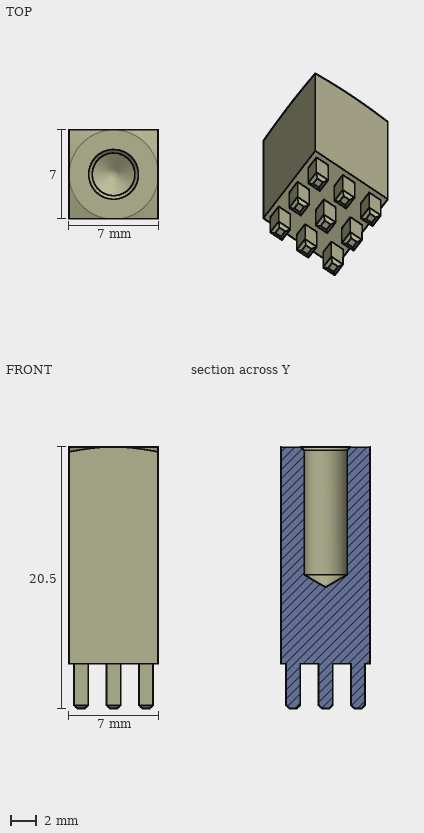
import cadquery as cq
import math

width = 7.0
total_height = 20.5
pin_length = 3.5
body_height = total_height - pin_length

bevel_angle = 15.0

hole_diameter = 3.35
countersink_diameter = 3.9
countersink_depth = (countersink_diameter - hole_diameter) / 2
hole_depth = 10.0
drill_point_angle = 120.0

pin_width = 1.13
pin_pitch = 2.55
pins_per_side = 3
pin_tip_height = 0.29
pin_tip_inset = 0.29


def bevelled_body():
    """Square block whose top corners are cut by a shallow cone."""
    block = cq.Workplane("XY").box(width, width, body_height, centered=(True, True, False))
    top_radius = width / 2
    envelope_radius = width
    drop = (envelope_radius - top_radius) * math.tan(math.radians(bevel_angle))
    envelope = (
        cq.Workplane("XZ")
        .moveTo(0, 0)
        .lineTo(envelope_radius, 0)
        .lineTo(envelope_radius, body_height - drop)
        .lineTo(top_radius, body_height)
        .lineTo(0, body_height)
        .close()
        .revolve(360, (0, 0, 0), (0, 1, 0))
    )
    return block.intersect(envelope)


def countersunk_hole():
    """Blind drilled hole with a conical bottom and a 45 degree countersink."""
    radius = hole_diameter / 2
    floor = body_height - hole_depth
    point_depth = radius / math.tan(math.radians(drill_point_angle / 2))
    return (
        cq.Workplane("XZ")
        .moveTo(0, floor - point_depth)
        .lineTo(radius, floor)
        .lineTo(radius, body_height - countersink_depth)
        .lineTo(countersink_diameter / 2, body_height)
        .lineTo(0, body_height)
        .close()
        .revolve(360, (0, 0, 0), (0, 1, 0))
    )


def pins():
    """Grid of square pins below the block, bevelled on all four tip edges."""
    return (
        cq.Workplane("XY")
        .rarray(pin_pitch, pin_pitch, pins_per_side, pins_per_side)
        .rect(pin_width, pin_width)
        .extrude(-pin_length)
        .faces("<Z")
        .chamfer(pin_tip_height, pin_tip_inset)
    )


result = bevelled_body().cut(countersunk_hole()).union(pins())